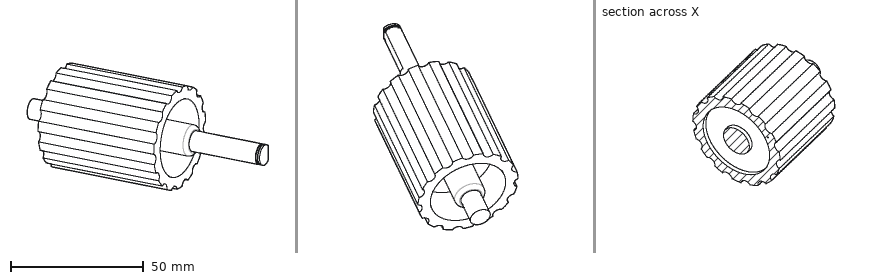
import cadquery as cq
import math

shaft_length = 100.3
shaft_radius = 4.0
flat_start = 78.6
flat_height = 2.8
ring_groove_start = 98.5
ring_groove_width = 0.9
ring_groove_radius = 3.5

hub_start = 10.4
hub_length = 59.5
hub_radius = 6.0
hub_fillet = 1.5

body_start = 13.6
body_length = 49.9
body_diameter = 40.0
body_radius = body_diameter / 2
bore_radius = 15.0
recess_depth = 15.0

flute_count = 15
flute_half_angle = 6.2
flute_floor_radius = 18.5


def cylinder_along_x(start, length, radius):
    return cq.Workplane("YZ").workplane(offset=start).circle(radius).extrude(length)


def polar_point(radius, degrees):
    angle = math.radians(degrees)
    return (radius * math.cos(angle), radius * math.sin(angle))


def fluted_body():
    """Outline of round crests and concave flutes, with one flute at +Z."""
    pitch = 360.0 / flute_count
    first_angle = 90.0 - flute_half_angle
    outline = cq.Workplane("YZ").workplane(offset=body_start)
    outline = outline.moveTo(*polar_point(body_radius, first_angle))
    for index in range(flute_count):
        center = 90.0 + index * pitch
        outline = outline.threePointArc(
            polar_point(flute_floor_radius, center),
            polar_point(body_radius, center + flute_half_angle),
        )
        outline = outline.threePointArc(
            polar_point(body_radius, center + pitch / 2),
            polar_point(body_radius, center + pitch - flute_half_angle),
        )
    return outline.close().extrude(body_length)


def roller():
    """Fluted body recessed at both ends, leaving a web in the middle."""
    far_recess_start = body_start + body_length - recess_depth
    body = fluted_body()
    for start in (body_start, far_recess_start):
        body = body.cut(cylinder_along_x(start, recess_depth, bore_radius))
    return body


def hub():
    return cylinder_along_x(hub_start, hub_length, hub_radius).edges().fillet(hub_fillet)


def shaft():
    """Plain shaft with a drive flat and a retaining ring groove at the +X end."""
    body = cylinder_along_x(0, shaft_length, shaft_radius)
    flat_cutter = cq.Workplane("XY").box(
        shaft_length - flat_start,
        shaft_radius - flat_height,
        2 * shaft_radius,
        centered=(False, False, True),
    ).translate((flat_start, flat_height, 0))
    ring_groove = cylinder_along_x(ring_groove_start, ring_groove_width, shaft_radius).cut(
        cylinder_along_x(ring_groove_start, ring_groove_width, ring_groove_radius)
    )
    return body.cut(flat_cutter).cut(ring_groove)


result = roller().union(hub()).union(shaft())